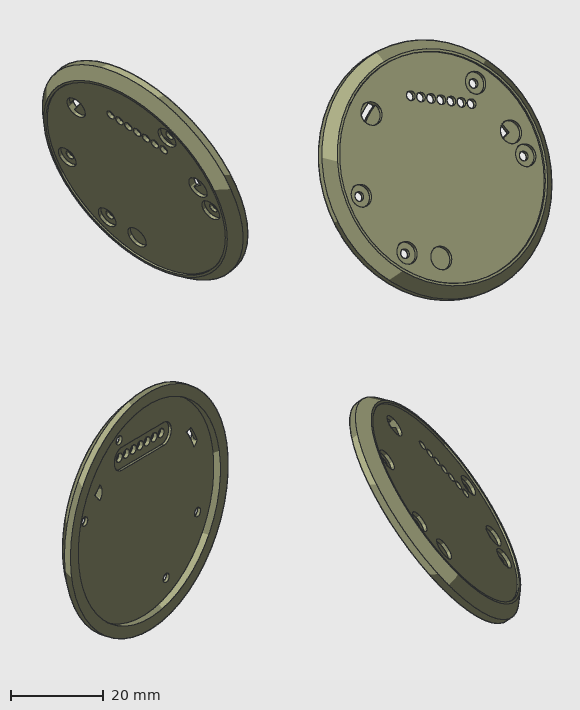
import cadquery as cq
import math

outer_radius = 28.5
thickness = 4.0
band_height = 1.6
front_radius = 26.05
recess_radius = 25.5
recess_depth = 0.5

cavity_radius = 25.65
cavity_depth = 1.75

screw_hole_diameter = 2.1
counterbore_diameter = 5.0
counterbore_depth = 0.85
screw_circle_radius = 21.55
screw_angles = (14.0, 66.8, 203.2, 246.8)

row_count = 7
row_pitch = 2.5
row_height = 15.05
row_hole_diameter = 2.1
row_floor_thickness = 1.0
row_relief_margin = 1.7

pocket_diameter = 5.2
pocket_depth = 0.85
pocket_circle_radius = 19.95
pocket_angles = (30.0, 150.0, 270.0)

window_inner_radius = 20.0
window_outer_radius = 21.55


def polar(radius, angle):
    """Point (x, z) on a circle around the disc axis."""
    return (
        radius * math.cos(math.radians(angle)),
        radius * math.sin(math.radians(angle)),
    )


def drill(points, diameter, depth):
    """Round cutters running from the front plane back to the given depth."""
    return (
        cq.Workplane("XZ")
        .pushPoints(points)
        .circle(diameter / 2)
        .extrude(-depth)
    )


def make_disc():
    profile = [
        (0, 0),
        (front_radius, 0),
        (outer_radius, thickness - band_height),
        (outer_radius, thickness),
        (0, thickness),
    ]
    disc = cq.Workplane("XY").polyline(profile).close().revolve(360, (0, 0), (0, 1))
    cavity = (
        cq.Workplane("XZ", origin=(0, thickness - cavity_depth, 0))
        .circle(cavity_radius)
        .extrude(-cavity_depth)
    )
    return disc.cut(drill([(0, 0)], 2 * recess_radius, recess_depth)).cut(cavity)


def make_row_relief():
    """Slot in the back that thins the floor around the row of holes."""
    relief_start = recess_depth + row_floor_thickness
    relief_height = row_hole_diameter + 2 * row_relief_margin
    relief_length = (row_count - 1) * row_pitch + relief_height
    return (
        cq.Workplane("XZ", origin=(0, relief_start, 0))
        .center(0, row_height)
        .slot2D(relief_length, relief_height)
        .extrude(relief_start - thickness)
    )


def make_curved_window(pocket_center):
    ring = (
        cq.Workplane("XZ")
        .circle(window_outer_radius)
        .circle(window_inner_radius)
        .extrude(-thickness)
    )
    return ring.intersect(drill([pocket_center], pocket_diameter, thickness))


def make_corner_window(pocket_center):
    """Right-angled sector of the pocket, with its corner at the pocket center."""
    x, z = pocket_center
    reach = pocket_diameter
    wedge = (
        cq.Workplane("XZ")
        .polyline([(x, z), (x - reach, z + reach), (x - reach, z - reach)])
        .close()
        .extrude(-thickness)
    )
    return wedge.intersect(drill([pocket_center], pocket_diameter, thickness))


screw_points = [polar(screw_circle_radius, angle) for angle in screw_angles]
pocket_points = [polar(pocket_circle_radius, angle) for angle in pocket_angles]
right_pocket, left_pocket = pocket_points[:2]
row_points = [((i - (row_count - 1) / 2) * row_pitch, row_height) for i in range(row_count)]

result = (
    make_disc()
    .cut(drill(screw_points, screw_hole_diameter, thickness))
    .cut(drill(screw_points, counterbore_diameter, recess_depth + counterbore_depth))
    .cut(make_row_relief())
    .cut(drill(row_points, row_hole_diameter, thickness))
    .cut(drill(pocket_points, pocket_diameter, recess_depth + pocket_depth))
    .cut(make_curved_window(left_pocket))
    .cut(make_corner_window(right_pocket))
)